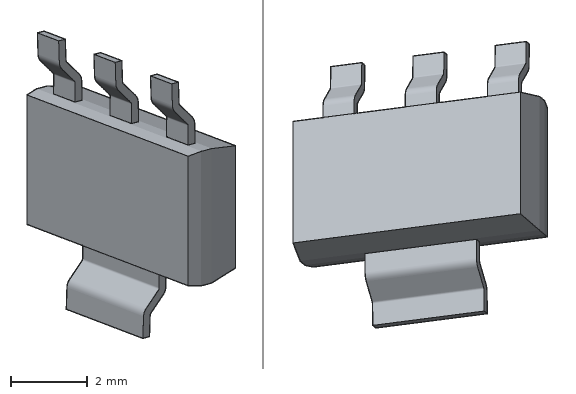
import cadquery as cq
import math


body_width = 6.7
body_height = 3.7
body_front_y = 0.1
belt_front_y = 0.49
belt_back_y = 0.84
body_back_y = 1.8
draft_angle = 10.0

overall_height = 7.3
lead_thickness = 0.23
lead_center_y = 0.67
pin_width = 0.87
pin_pitch = 2.3
tab_width = 3.12

lead_length = (overall_height - body_height) / 2
straight_length = 0.605
jog_offset = 0.53
jog_angle = 45.0
inner_bend_radius = 0.07
outer_bend_radius = inner_bend_radius + lead_thickness
embed_depth = 0.5


def make_body():
    """Belt with a drafted half on either side of it."""

    def slab(start_y, end_y, draft):
        return (
            cq.Workplane("XZ", origin=(0, start_y, 0))
            .rect(body_width, body_height)
            .extrude(start_y - end_y, taper=draft)
        )

    belt = slab(belt_back_y, belt_front_y, 0)
    front_half = slab(belt_front_y, body_front_y, draft_angle)
    back_half = slab(belt_back_y, body_back_y, draft_angle)
    return belt.union(front_half).union(back_half)


def make_lead(width):
    """Bent strip of the given width, centred on X = 0 and leaving the top of the body."""
    root_z = body_height / 2
    tip_z = root_z + lead_length
    half = lead_thickness / 2
    jog = math.radians(jog_angle)

    bend_1 = (lead_center_y, root_z + straight_length)
    bend_2 = (lead_center_y - jog_offset, bend_1[1] + jog_offset / math.tan(jog))

    foot_tilt = math.atan((bend_2[0] - half) / (tip_z - bend_2[1]))
    tip_depth = lead_thickness / math.cos(foot_tilt)

    def mitre(point, angle_in, angle_out, side):
        """Strip corner at a bend; side is +1 for the back face and -1 for the front."""
        mean = (angle_in + angle_out) / 2
        reach = side * half / math.cos((angle_out - angle_in) / 2)
        return (point[0] + reach * math.cos(mean), point[1] + reach * math.sin(mean))

    inner_1 = mitre(bend_1, 0, jog, -1)
    outer_1 = mitre(bend_1, 0, jog, 1)
    outer_2 = mitre(bend_2, jog, foot_tilt, -1)
    inner_2 = mitre(bend_2, jog, foot_tilt, 1)

    outline = [
        (lead_center_y - half, root_z - embed_depth),
        inner_1,
        outer_2,
        (0, tip_z),
        (tip_depth, tip_z),
        inner_2,
        outer_1,
        (lead_center_y + half, root_z - embed_depth),
    ]
    strip = cq.Workplane("YZ").polyline(outline).close().extrude(width / 2, both=True)

    def round_bend(solid, corner, radius):
        edge = cq.selectors.NearestToPointSelector((0, corner[0], corner[1]))
        return solid.edges("|X").edges(edge).fillet(radius)

    for corner in (inner_1, inner_2):
        strip = round_bend(strip, corner, inner_bend_radius)
    for corner in (outer_1, outer_2):
        strip = round_bend(strip, corner, outer_bend_radius)
    return strip


result = make_body()

pin = make_lead(pin_width)
for position in (-1, 0, 1):
    result = result.union(pin.translate((position * pin_pitch, 0, 0)))

tab = make_lead(tab_width).mirror("XY")
result = result.union(tab)